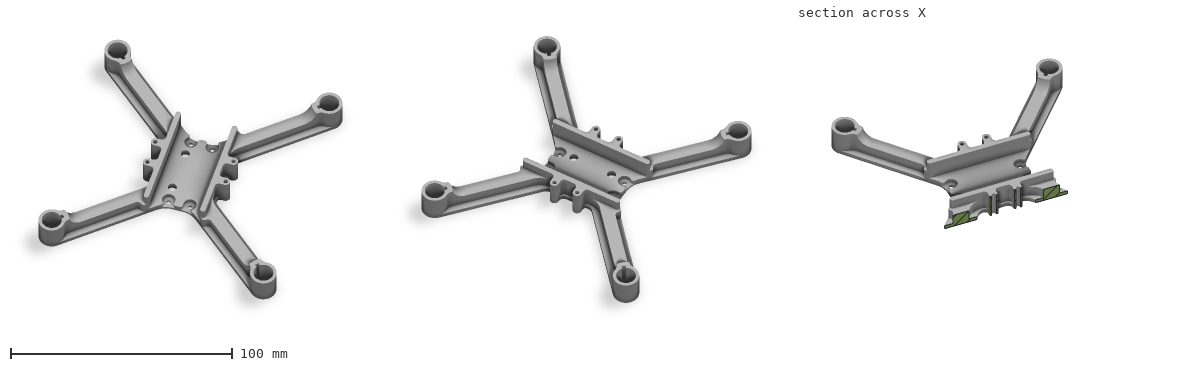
import cadquery as cq
import math

FLANGE_TOP = 2.0
PLATE_TOP = 3.0
ARM_TOP = 7.0
FULL_HEIGHT = 12.0

OVERALL = 112.0
TUBE_DIAMETER = 12.0
TUBE_RADIUS = TUBE_DIAMETER / 2
TUBE_BORE_RADIUS = 4.5
TUBE_CENTRE = OVERALL / 2 - TUBE_RADIUS
BUMP_RADIUS = 8.0
KEY_WIDTH = 1.8
KEY_DEPTH = 5.8

ARM_ANGLE = 41.4
FLANGE_HALF_WIDTH = TUBE_RADIUS
WEB_HALF_WIDTH = 3.0
COVE_RADIUS = 6.0
TUBE_WEB_FILLET = 4.0
WEB_OUTER_FILLET = 2.0
WEB_TIP_ROUND = 1.0
WEB_INNER_FILLET = 8.0

PLATE_HALF_X = 15.5
PLATE_HALF_Y = 19.5
PLATE_END_FILLET = 10.3
PLATE_CORNER_ROUND = 3.9
RAIL_INNER_X = 12.1
RAIL_OUTER_X = 14.6
RAIL_END_ROUND = 1.2

LUG_X = 18.5
LUG_Y = 5.9
LUG_RADIUS = 2.0
LUG_HOLE_DIAMETER = 2.0
LUG_RAIL_FILLET = 1.8
LUG_PLATE_INNER_FILLET = 2.6
LUG_PLATE_OUTER_FILLET = 1.5

SCREW_X = 5.0
SCREW_Y = 16.9
SCREW_HOLE_DIAMETER = 2.0
COUNTERBORE_RADIUS = 3.0
COUNTERBORE_FLOOR = 1.0
COUNTERBORE_OUTER_X = 7.0
COUNTERBORE_MOUTH_ROUND = 1.0
PLAIN_HOLE_X = -5.5
PLAIN_HOLE_Y = 9.9
PLAIN_HOLE_DIAMETER = 4.0

COS_ARM = math.cos(math.radians(ARM_ANGLE))
SIN_ARM = math.sin(math.radians(ARM_ANGLE))
SLOPE = SIN_ARM / COS_ARM


def arm_point(along, across):
    """XY point from the tube axis: `along` runs inward, `across` towards the arm's +Y side."""
    x = TUBE_CENTRE - along * COS_ARM - across * SIN_ARM
    y = TUBE_CENTRE - along * SIN_ARM + across * COS_ARM
    return x, y


def arm_line_y(x, across):
    """Y at a given X on the line that runs along the arm, offset by `across`."""
    return TUBE_CENTRE + (x - TUBE_CENTRE) * SLOPE + across / COS_ARM


def arm_along(x, across):
    """Distance `along` of the point at a given X on an offset line of the arm."""
    return (TUBE_CENTRE - x - across * SIN_ARM) / COS_ARM


def round_upright_edge(body, x, y, radius):
    """Fillet the vertical edge that passes through (x, y)."""
    reach = 0.06
    box = cq.selectors.BoxSelector((x - reach, y - reach, -1.1), (x + reach, y + reach, FULL_HEIGHT + 1.1))
    return body.edges("|Z").edges(box).fillet(radius)


def cylinder(x, y, radius, bottom, top):
    return cq.Workplane("XY", origin=(x, y, bottom)).circle(radius).extrude(top - bottom)


def block(x_min, x_max, y_min, y_max, bottom, top):
    size = (x_max - x_min, y_max - y_min, top - bottom)
    return cq.Workplane("XY").box(*size, centered=False).translate((x_min, y_min, bottom))


def lug(bottom, top):
    """Round-ended lug that reaches inward to the inner face of the rail."""
    neck = block(RAIL_INNER_X, LUG_X, LUG_Y - LUG_RADIUS, LUG_Y + LUG_RADIUS, bottom, top)
    return neck.union(cylinder(LUG_X, LUG_Y, LUG_RADIUS, bottom, top))


def make_base():
    """Quarter of the plate with its arm flange and the foot of its lug."""
    lower_corner_y = arm_line_y(PLATE_HALF_X, -FLANGE_HALF_WIDTH)
    end_corner_x = TUBE_CENTRE - (TUBE_CENTRE + FLANGE_HALF_WIDTH / COS_ARM - PLATE_HALF_Y) / SLOPE
    outline = [
        (0, 0),
        (PLATE_HALF_X, 0),
        (PLATE_HALF_X, lower_corner_y),
        arm_point(0, -FLANGE_HALF_WIDTH),
        arm_point(0, FLANGE_HALF_WIDTH),
        (end_corner_x, PLATE_HALF_Y),
        (0, PLATE_HALF_Y),
    ]
    base = cq.Workplane("XY").polyline(outline).close().extrude(PLATE_TOP)
    base = round_upright_edge(base, end_corner_x, PLATE_HALF_Y, PLATE_END_FILLET)
    base = round_upright_edge(base, PLATE_HALF_X, lower_corner_y, PLATE_CORNER_ROUND)
    base = base.cut(block(RAIL_INNER_X, OVERALL, 0, OVERALL, FLANGE_TOP, PLATE_TOP))
    base = base.union(lug(0, FLANGE_TOP))
    base = round_upright_edge(base, PLATE_HALF_X, LUG_Y - LUG_RADIUS, LUG_PLATE_INNER_FILLET)
    return round_upright_edge(base, PLATE_HALF_X, LUG_Y + LUG_RADIUS, LUG_PLATE_OUTER_FILLET)


def make_rail():
    """Half of one side rail with its lug; the end follows the flange edge."""
    outer_end_y = arm_line_y(RAIL_OUTER_X, FLANGE_HALF_WIDTH)
    outline = [
        (RAIL_INNER_X, 0),
        (RAIL_OUTER_X, 0),
        (RAIL_OUTER_X, outer_end_y),
        (RAIL_INNER_X, arm_line_y(RAIL_INNER_X, FLANGE_HALF_WIDTH)),
    ]
    height = FULL_HEIGHT - FLANGE_TOP
    rail = cq.Workplane("XY", origin=(0, 0, FLANGE_TOP)).polyline(outline).close().extrude(height)
    rail = round_upright_edge(rail, RAIL_OUTER_X, outer_end_y, RAIL_END_ROUND)
    rail = rail.union(lug(FLANGE_TOP, FULL_HEIGHT))
    for side in (-1, 1):
        rail = round_upright_edge(rail, RAIL_OUTER_X, LUG_Y + side * LUG_RADIUS, LUG_RAIL_FILLET)
    return rail


def make_web_root():
    """Arm web up to ARM_TOP, flared where it meets the rail."""
    corner_along = arm_along(RAIL_OUTER_X, WEB_HALF_WIDTH)
    half_corner = math.radians(90 - ARM_ANGLE) / 2
    fillet_along = corner_along - WEB_OUTER_FILLET / math.tan(half_corner)
    fillet_across = WEB_HALF_WIDTH + WEB_OUTER_FILLET
    tip_across = FLANGE_HALF_WIDTH - WEB_TIP_ROUND
    centre_gap = WEB_OUTER_FILLET + WEB_TIP_ROUND
    rise = tip_across - fillet_across
    run = math.sqrt(centre_gap ** 2 - rise ** 2)
    tip_along = fillet_along + run
    share = WEB_OUTER_FILLET / centre_gap
    touch = (fillet_along + share * run, fillet_across + share * rise)
    turn = math.atan2(rise, run)
    fillet_mid_angle = (turn - math.pi / 2) / 2
    fillet_mid = (
        fillet_along + WEB_OUTER_FILLET * math.cos(fillet_mid_angle),
        fillet_across + WEB_OUTER_FILLET * math.sin(fillet_mid_angle),
    )
    tip_mid_angle = (turn + math.pi + math.pi / 2) / 2
    tip_mid = (
        tip_along + WEB_TIP_ROUND * math.cos(tip_mid_angle),
        tip_across + WEB_TIP_ROUND * math.sin(tip_mid_angle),
    )

    inner_corner_y = arm_line_y(RAIL_OUTER_X, -WEB_HALF_WIDTH)
    web = (
        cq.Workplane("XY", origin=(0, 0, FLANGE_TOP))
        .moveTo(RAIL_INNER_X, 0)
        .lineTo(RAIL_INNER_X, arm_line_y(RAIL_INNER_X, FLANGE_HALF_WIDTH))
        .lineTo(*arm_point(tip_along, FLANGE_HALF_WIDTH))
        .threePointArc(arm_point(*tip_mid), arm_point(*touch))
        .threePointArc(arm_point(*fillet_mid), arm_point(fillet_along, WEB_HALF_WIDTH))
        .lineTo(*arm_point(0, WEB_HALF_WIDTH))
        .lineTo(*arm_point(0, -WEB_HALF_WIDTH))
        .lineTo(RAIL_OUTER_X, inner_corner_y)
        .lineTo(RAIL_OUTER_X, 0)
        .close()
        .extrude(ARM_TOP - FLANGE_TOP)
    )
    return round_upright_edge(web, RAIL_OUTER_X, inner_corner_y, WEB_INNER_FILLET)


def arm_strip(length, half_width):
    """Full-height bar that runs inward along the arm from the tube axis."""
    corners = [(0, -half_width), (length, -half_width), (length, half_width), (0, half_width)]
    outline = [arm_point(*corner) for corner in corners]
    return cq.Workplane("XY").polyline(outline).close().extrude(FULL_HEIGHT)


def make_tube():
    """Solid motor tube with the bump and the cove that lead down to the arm web."""
    cove_end = BUMP_RADIUS + COVE_RADIUS
    cove_centre_z = ARM_TOP + COVE_RADIUS
    cove_top = cove_end - math.sqrt(COVE_RADIUS ** 2 - (cove_centre_z - FULL_HEIGHT) ** 2)
    cove_mid = (
        cove_end - COVE_RADIUS * math.sin(math.pi / 4),
        cove_centre_z - COVE_RADIUS * math.cos(math.pi / 4),
    )
    cove = (
        cq.Workplane("XZ")
        .lineTo(cove_end, 0)
        .lineTo(cove_end, ARM_TOP)
        .threePointArc(cove_mid, (cove_top, FULL_HEIGHT))
        .lineTo(0, FULL_HEIGHT)
        .close()
        .revolve(360, (0, 0), (0, 1))
        .translate((TUBE_CENTRE, TUBE_CENTRE, 0))
    )
    bump = arm_strip(cove_end, WEB_HALF_WIDTH).intersect(cove)
    tube = cylinder(TUBE_CENTRE, TUBE_CENTRE, TUBE_RADIUS, 0, FULL_HEIGHT).union(bump)
    meeting_along = math.sqrt(TUBE_RADIUS ** 2 - WEB_HALF_WIDTH ** 2)
    for across in (-WEB_HALF_WIDTH, WEB_HALF_WIDTH):
        tube = round_upright_edge(tube, *arm_point(meeting_along, across), TUBE_WEB_FILLET)
    return tube


def make_counterbore():
    """Recess around a screw hole, open through the end of the plate."""
    inner_x = SCREW_X - COUNTERBORE_RADIUS
    past_end = PLATE_HALF_Y + COUNTERBORE_RADIUS
    recess = cylinder(SCREW_X, SCREW_Y, COUNTERBORE_RADIUS, COUNTERBORE_FLOOR, PLATE_TOP)
    mouth = block(inner_x, COUNTERBORE_OUTER_X, SCREW_Y, past_end, COUNTERBORE_FLOOR, PLATE_TOP)
    flare_x = inner_x - COUNTERBORE_MOUTH_ROUND
    flare_y = PLATE_HALF_Y - COUNTERBORE_MOUTH_ROUND
    flare = block(flare_x, inner_x, flare_y, PLATE_HALF_Y, COUNTERBORE_FLOOR, PLATE_TOP)
    flare = flare.cut(cylinder(flare_x, flare_y, COUNTERBORE_MOUTH_ROUND, COUNTERBORE_FLOOR, PLATE_TOP))
    return recess.union(mouth).union(flare)


def make_quarter():
    quarter = make_base().union(make_rail()).union(make_web_root()).union(make_tube())
    quarter = quarter.cut(cylinder(TUBE_CENTRE, TUBE_CENTRE, TUBE_BORE_RADIUS, 0, FULL_HEIGHT))
    quarter = quarter.cut(arm_strip(KEY_DEPTH, KEY_WIDTH / 2))
    quarter = quarter.cut(cylinder(LUG_X, LUG_Y, LUG_HOLE_DIAMETER / 2, 0, FULL_HEIGHT))
    quarter = quarter.cut(make_counterbore())
    return quarter.cut(cylinder(SCREW_X, SCREW_Y, SCREW_HOLE_DIAMETER / 2, 0, PLATE_TOP))


quarter = make_quarter()
half = quarter.union(quarter.mirror("YZ"))
frame = half.union(half.mirror("XZ")).clean()
for hole_y in (-PLAIN_HOLE_Y, PLAIN_HOLE_Y):
    frame = frame.cut(cylinder(PLAIN_HOLE_X, hole_y, PLAIN_HOLE_DIAMETER / 2, 0, PLATE_TOP))

result = frame